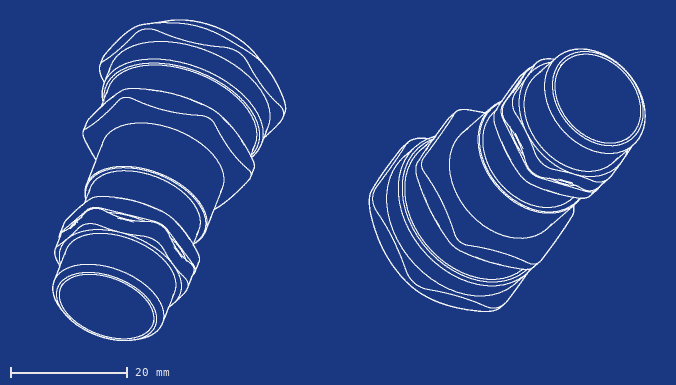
import cadquery as cq
import math


adaptor_shift_x = -0.15
adaptor_shift_z = -0.03
adaptor_bore_dia = 17.0
spigot_dia = 20.0
spigot_chamfer = 1.0
adaptor_hex_flats = 22.0
front_hex_rounding = 4.5
front_hex_front = 8.0
hex_joint_y = 12.0
seat_rim_dia = 24.0
seat_depth = 1.1
ring_dia = 21.6
ring_section_radius = 1.2
rear_hex_rounding = 3.0
rear_hex_chamfer_dia = 21.6
rear_hex_rear = 15.3
neck_dia = spigot_dia

passage_dia = 12.0
sleeve_dia = 22.0
sleeve_front = 22.15
sleeve_chamfer = 0.15
middle_hex_flats = 27.0
middle_hex_rounding = 3.0
middle_hex_front = 32.1
middle_hex_rear = 37.4
barrel_dia = middle_hex_flats
collar_dia = 29.0
collar_chamfer = 0.5
collar_front = 43.1
large_hex_flats = 30.0
large_hex_rounding = 5.0
large_hex_front = 47.55
rear_face_dia = 22.8
total_length = 55.1

shallow_slope = math.tan(math.radians(30))
steep_slope = math.tan(math.radians(45))


def turned(profile):
    """Revolve a closed (radius, y) outline about the Y axis."""
    return cq.Workplane("XY").polyline(profile).close().revolve(360, (0, 0, 0), (0, 1, 0))


def cylinder(dia, y_start, y_end):
    """Round bar along Y between two positions."""
    return cq.Workplane("XZ", origin=(0, y_start, 0)).circle(dia / 2).extrude(y_start - y_end)


def hexagon(flats, rounding, y_start, y_end):
    """Hexagonal bar along Y with rounded edges and two of its edges on the X axis."""
    corner_dia = flats / math.cos(math.radians(30))
    bar = cq.Workplane("XZ", origin=(0, y_start, 0)).polygon(6, corner_dia).extrude(y_start - y_end)
    return bar.edges("|Y").fillet(rounding)


def hexagon_limits(flats, y_start, y_end, front_cone=None, rear_cone=None):
    """Turned blank that cuts the ends of a hexagon; a cone is (end diameter, slope), None is a flat end."""
    reach = flats / math.sqrt(3)
    front_dia, front_slope = front_cone or (2 * reach, 0)
    rear_dia, rear_slope = rear_cone or (2 * reach, 0)
    outline = [(0, y_start), (front_dia / 2, y_start)]
    if front_cone:
        outline.append((reach, y_start + (reach - front_dia / 2) * front_slope))
    if rear_cone:
        outline.append((reach, y_end - (reach - rear_dia / 2) * rear_slope))
    outline += [(rear_dia / 2, y_end), (0, y_end)]
    return turned(outline)


def chamfered_hexagon(flats, rounding, y_start, y_end, front_cone=None, rear_cone=None):
    """Hexagon with its corners turned off by a cone at either end."""
    limits = hexagon_limits(flats, y_start, y_end, front_cone, rear_cone)
    return hexagon(flats, rounding, y_start, y_end).intersect(limits)


def make_front_nut():
    """Front hexagon, with a conical seat sunk into its rear end."""
    nut = chamfered_hexagon(
        adaptor_hex_flats, front_hex_rounding, front_hex_front, hex_joint_y,
        front_cone=(adaptor_hex_flats, shallow_slope),
    )
    seat_floor = hex_joint_y - seat_depth
    floor_radius = seat_rim_dia / 2 - seat_depth / steep_slope
    seat = turned([
        (0, seat_floor), (floor_radius, seat_floor), (seat_rim_dia / 2, hex_joint_y), (0, hex_joint_y),
    ])
    return nut.cut(seat)


def make_rear_nut():
    """Rear hexagon, with a round-section ring half sunk into its front face."""
    nut = chamfered_hexagon(
        adaptor_hex_flats, rear_hex_rounding, hex_joint_y, rear_hex_rear,
        rear_cone=(rear_hex_chamfer_dia, shallow_slope),
    )
    ring_centre = cq.Vector(0, hex_joint_y, 0)
    ring_mean_radius = ring_dia / 2 - ring_section_radius
    ring = cq.Solid.makeTorus(ring_mean_radius, ring_section_radius, ring_centre, cq.Vector(0, 1, 0))
    return nut.union(cq.Workplane(ring))


def make_adaptor():
    """Adaptor: spigot, two hexagons, neck and a bore right through."""
    spigot = cylinder(spigot_dia, 0, hex_joint_y).faces("<Y").chamfer(spigot_chamfer)
    neck = cylinder(neck_dia, hex_joint_y, sleeve_front)
    adaptor = spigot.union(neck).union(make_front_nut()).union(make_rear_nut())
    adaptor = adaptor.cut(cylinder(adaptor_bore_dia, 0, sleeve_front))
    return adaptor.translate((adaptor_shift_x, 0, adaptor_shift_z))


def make_sleeve():
    """Round stretches of the gland: sleeve, barrel and collar."""
    sleeve = cylinder(sleeve_dia, sleeve_front, middle_hex_rear).faces("<Y").chamfer(sleeve_chamfer)
    barrel = cylinder(barrel_dia, middle_hex_rear, collar_front)
    collar = cylinder(collar_dia, collar_front, large_hex_front).faces("<Y").chamfer(collar_chamfer)
    return sleeve.union(barrel).union(collar)


def make_gland():
    """Gland: stepped sleeve, two hexagons and the cable passage."""
    middle_nut = chamfered_hexagon(
        middle_hex_flats, middle_hex_rounding, middle_hex_front, middle_hex_rear,
        front_cone=(sleeve_dia, shallow_slope),
        rear_cone=(middle_hex_flats, shallow_slope),
    )
    large_nut = chamfered_hexagon(
        large_hex_flats, large_hex_rounding, large_hex_front, total_length,
        front_cone=(collar_dia, shallow_slope),
        rear_cone=(rear_face_dia, steep_slope),
    )
    gland = make_sleeve().union(middle_nut).union(large_nut)
    return gland.cut(cylinder(passage_dia, sleeve_front, total_length))


adaptor = make_adaptor()
gland = make_gland()

result = cq.Compound.makeCompound([adaptor.val(), gland.val()])